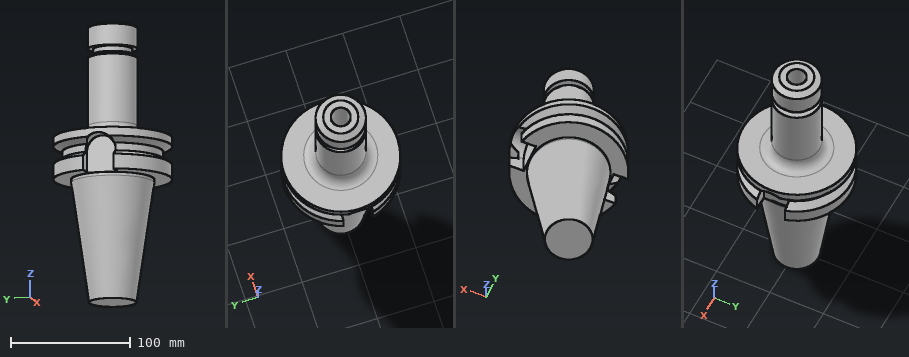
import cadquery as cq
import math

total_height = 236.8
gauge_radius = 34.93
gauge_height = 101.8
taper_ratio = 7 / 24
shank_end_radius = gauge_radius - gauge_height * taper_ratio / 2

flange_radius = 50.0
flange_bottom = 104.7
flange_top = 140.2
groove_floor_radius = 42.5
groove_lower_edge = 117.2
groove_upper_edge = 132.5
groove_flank_angle = math.radians(30)
groove_flank_height = (flange_radius - groove_floor_radius) * math.tan(groove_flank_angle)

slot_width = 26.0
slot_floor_distance = 35.4
slot_top = 136.0

neck_radius = 21.0
neck_fillet_radius = 10.0
neck_top = 208.1
relief_radius = 15.6
collar_radius = 16.3
collar_bottom = 211.5
collar_chamfer = collar_radius - relief_radius
nut_bottom = 216.0
nut_face_radius = 14.7
nut_chamfer_height = 3.0

bore_radius = 8.3
bore_depth = 47.4


def make_body():
    """Revolve the half outline, given as radius and height, about Z."""
    fillet_top = flange_top + neck_fillet_radius
    fillet_inset = neck_fillet_radius * (1 - math.sqrt(0.5))
    fillet_middle = (neck_radius + fillet_inset, flange_top + fillet_inset)
    return (
        cq.Workplane("XZ")
        .moveTo(0, 0)
        .lineTo(shank_end_radius, 0)
        .lineTo(gauge_radius, gauge_height)
        .lineTo(gauge_radius, flange_bottom)
        .lineTo(flange_radius, flange_bottom)
        .lineTo(flange_radius, groove_lower_edge)
        .lineTo(groove_floor_radius, groove_lower_edge + groove_flank_height)
        .lineTo(groove_floor_radius, groove_upper_edge - groove_flank_height)
        .lineTo(flange_radius, groove_upper_edge)
        .lineTo(flange_radius, flange_top)
        .lineTo(neck_radius + neck_fillet_radius, flange_top)
        .threePointArc(fillet_middle, (neck_radius, fillet_top))
        .lineTo(neck_radius, neck_top)
        .lineTo(relief_radius, neck_top)
        .lineTo(relief_radius, collar_bottom - collar_chamfer)
        .lineTo(collar_radius, collar_bottom)
        .lineTo(collar_radius, nut_bottom)
        .lineTo(neck_radius, nut_bottom)
        .lineTo(neck_radius, total_height - nut_chamfer_height)
        .lineTo(nut_face_radius, total_height)
        .lineTo(0, total_height)
        .close()
        .revolve(360, (0, 0, 0), (0, 1, 0))
    )


def make_drive_slot(side):
    """Cutter for the drive slot on the +X (side = 1) or -X (side = -1) face."""
    half_width = slot_width / 2
    arc_height = slot_top - half_width
    return (
        cq.Workplane("YZ", origin=(side * slot_floor_distance, 0, 0))
        .moveTo(-half_width, flange_bottom)
        .lineTo(half_width, flange_bottom)
        .lineTo(half_width, arc_height)
        .threePointArc((0, slot_top), (-half_width, arc_height))
        .close()
        .extrude(side * flange_radius)
    )


def make_bore():
    return (
        cq.Workplane("XY", origin=(0, 0, total_height - bore_depth))
        .circle(bore_radius)
        .extrude(bore_depth)
    )


result = make_body().cut(make_bore())
for slot_side in (-1, 1):
    result = result.cut(make_drive_slot(slot_side))